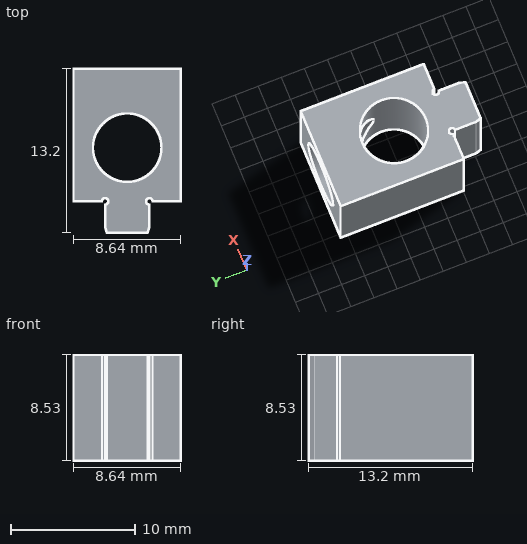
import cadquery as cq

width = 8.64
height = 8.53
overall_length = 13.21
tongue_length = 2.54
body_length = overall_length - tongue_length
tongue_width = 3.56

chamfer_depth = 0.46
chamfer_inset = 0.14

relief_diameter = 0.51

bore_diameter = 5.49
bore_y = 4.32
cross_bore_diameter = 5.36


def make_block():
    """T-shaped plan outline extruded to the full height, centred on Z = 0."""
    half_body = width / 2
    half_tongue = tongue_width / 2
    half_tip = half_tongue - chamfer_inset
    chamfer_start = -tongue_length + chamfer_depth
    return (
        cq.Workplane("XY", origin=(0, 0, -height / 2))
        .moveTo(0, body_length)
        .lineTo(half_body, body_length)
        .lineTo(half_body, 0)
        .lineTo(half_tongue, 0)
        .lineTo(half_tongue, chamfer_start)
        .lineTo(half_tip, -tongue_length)
        .lineTo(0, -tongue_length)
        .mirrorY()
        .extrude(height)
    )


def make_relief_grooves():
    """Full-height cylinders centred on the two inner corners."""
    return (
        cq.Workplane("XY", origin=(0, 0, -height / 2))
        .pushPoints([(side * tongue_width / 2, 0) for side in (-1, 1)])
        .circle(relief_diameter / 2)
        .extrude(height)
    )


def make_bore():
    """Vertical bore through the full height."""
    return (
        cq.Workplane("XY", origin=(0, 0, -height / 2))
        .center(0, bore_y)
        .circle(bore_diameter / 2)
        .extrude(height)
    )


def make_cross_bore():
    """Horizontal bore at mid-height, from the +Y face to the axis of the vertical bore."""
    return (
        cq.Workplane("XZ", origin=(0, body_length, 0))
        .circle(cross_bore_diameter / 2)
        .extrude(body_length - bore_y)
    )


result = make_block().cut(make_relief_grooves()).cut(make_bore()).cut(make_cross_bore())